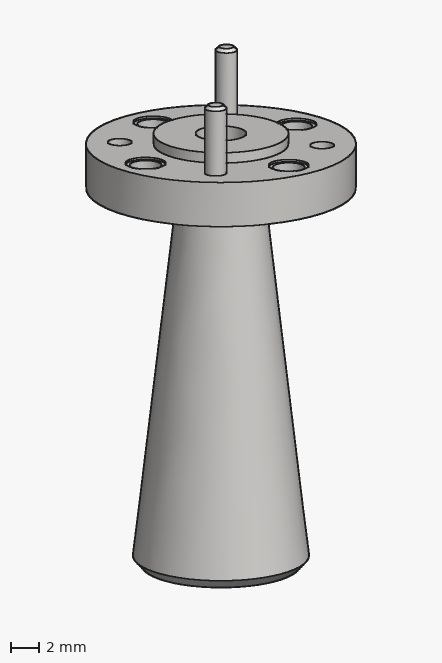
import cadquery as cq
import math

flange_diameter = 19.05
flange_thickness = 3.25
boss_diameter = 9.53
boss_height = 0.76

horn_length = 27.76
neck_diameter = 6.14
mouth_diameter = 12.45
mouth_chamfer_height = 0.7
mouth_chamfer_width = 0.63
neck_fillet_radius = 0.3
throat_diameter = 3.58

bolt_circle_diameter = 14.29
screw_hole_diameter = 2.26
counterbore_diameter = 2.85
counterbore_depth = 0.15
pin_hole_diameter = 1.7
pin_diameter = 1.56
pin_chamfer = 0.25
overall_height = 36.02

bolt_circle_radius = bolt_circle_diameter / 2
flange_bottom = horn_length
flange_top = flange_bottom + flange_thickness
boss_top = flange_top + boss_height
mouth_bore_diameter = mouth_diameter - (neck_diameter - throat_diameter)
pin_height = overall_height - flange_top

SCREW_ANGLES = (0, 90, 180, 270)
PIN_HOLE_ANGLES = (45, 225)
PIN_ANGLES = (135, 315)


def bolt_circle_points(angles):
    """Points on the bolt circle at the given angles in degrees."""
    return [
        (
            bolt_circle_radius * math.cos(math.radians(angle)),
            bolt_circle_radius * math.sin(math.radians(angle)),
        )
        for angle in angles
    ]


def make_horn():
    """Cone widening downward, with a chamfered mouth rim."""
    mouth_radius = mouth_diameter / 2
    return (
        cq.Workplane("XZ")
        .moveTo(0, 0)
        .lineTo(mouth_radius - mouth_chamfer_width, 0)
        .lineTo(mouth_radius, mouth_chamfer_height)
        .lineTo(neck_diameter / 2, flange_bottom)
        .lineTo(0, flange_bottom)
        .close()
        .revolve(360, (0, 0, 0), (0, 1, 0))
    )


def make_flange():
    """Round flange with a raised centre boss on top."""
    disc = cq.Workplane("XY").workplane(offset=flange_bottom).circle(flange_diameter / 2)
    boss = cq.Workplane("XY").workplane(offset=flange_top).circle(boss_diameter / 2)
    return disc.extrude(flange_thickness).union(boss.extrude(boss_height))


def fillet_neck(body):
    """Round the corner where the cone meets the underside of the flange."""
    reach = neck_diameter / 2 + neck_fillet_radius
    corner = cq.selectors.BoxSelector(
        (-reach, -reach, flange_bottom - neck_fillet_radius),
        (reach, reach, flange_bottom + neck_fillet_radius),
        boundingbox=True,
    )
    return body.edges(corner).fillet(neck_fillet_radius)


def make_screw_holes():
    """Cutters for the through holes, each with a shallow counterbore at the top."""
    points = bolt_circle_points(SCREW_ANGLES)
    holes = (
        cq.Workplane("XY")
        .workplane(offset=flange_bottom)
        .pushPoints(points)
        .circle(screw_hole_diameter / 2)
        .extrude(flange_thickness)
    )
    counterbores = (
        cq.Workplane("XY")
        .workplane(offset=flange_top)
        .pushPoints(points)
        .circle(counterbore_diameter / 2)
        .extrude(-counterbore_depth)
    )
    return holes.union(counterbores)


def make_pin_holes():
    """Cutters for the plain through holes that receive the mating pins."""
    return (
        cq.Workplane("XY")
        .workplane(offset=flange_bottom)
        .pushPoints(bolt_circle_points(PIN_HOLE_ANGLES))
        .circle(pin_hole_diameter / 2)
        .extrude(flange_thickness)
    )


def make_pins():
    """Upright alignment pins with chamfered tips."""
    return (
        cq.Workplane("XY")
        .workplane(offset=flange_top)
        .pushPoints(bolt_circle_points(PIN_ANGLES))
        .circle(pin_diameter / 2)
        .extrude(pin_height)
        .faces(">Z")
        .edges()
        .chamfer(pin_chamfer)
    )


def make_bore():
    """Cutter for the bore: straight through the flange, then flaring to the mouth."""
    return (
        cq.Workplane("XZ")
        .moveTo(0, 0)
        .lineTo(mouth_bore_diameter / 2, 0)
        .lineTo(throat_diameter / 2, flange_bottom)
        .lineTo(throat_diameter / 2, boss_top)
        .lineTo(0, boss_top)
        .close()
        .revolve(360, (0, 0, 0), (0, 1, 0))
    )


body = fillet_neck(make_horn().union(make_flange()))
body = body.cut(make_screw_holes()).cut(make_pin_holes()).cut(make_bore())
result = body.union(make_pins())